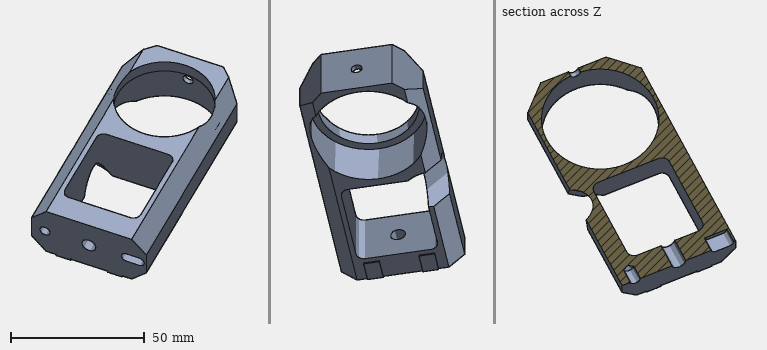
import cadquery as cq
import math

length = 94.0
width = 47.0
total_height = 22.6
pad_height = 0.6
height = total_height - pad_height
edge_chamfer = 6.0
rear_corner_chamfer = 10.0
mid_height = height / 2

opening_y = 70.0
opening_diameter = 38.0
counterbore_diameter = 43.8
lip_thickness = 5.0

window_width = 31.0
window_length = 35.1
window_front_y = 10.0
window_corner_radius = 3.0

cable_hole_diameter = 5.5
pin_diameter = 4.0
pin_offset = 18.0
pin_depth = 6.0
drill_point_angle = 118.0
slot_length = 9.2
slot_depth = 6.0

notch_y = 39.3
notch_radius = 8.65
notch_axis_drop = 1.4
notch_slope = 45.0

pad_width = 6.0
pad_length = 8.0
pad_offset = 10.5


def make_body():
    bar = cq.Workplane("XY").box(width, length, height, centered=(True, False, False))
    bar = bar.edges("|Y").chamfer(edge_chamfer)
    plan = cq.Workplane("XY").box(width, length, height, centered=(True, False, False))
    plan = plan.edges("|Z and >Y").chamfer(rear_corner_chamfer)
    return bar.intersect(plan)


def make_opening():
    bore = cq.Workplane("XY").circle(opening_diameter / 2).extrude(height)
    counterbore = cq.Workplane("XY").circle(counterbore_diameter / 2).extrude(height - lip_thickness)
    return bore.union(counterbore).translate((0, opening_y, 0))


def make_window():
    window = cq.Workplane("XY").box(window_width, window_length, height, centered=(True, False, False))
    return window.edges("|Z").fillet(window_corner_radius).translate((0, window_front_y, 0))


def hole_along_y(diameter, x, start_y, depth):
    start = cq.Vector(x, start_y, mid_height)
    return cq.Workplane(cq.Solid.makeCylinder(diameter / 2, depth, start, cq.Vector(0, 1, 0)))


def make_pin_hole():
    radius = pin_diameter / 2
    point_depth = radius / math.tan(math.radians(drill_point_angle / 2))
    point_start = cq.Vector(-pin_offset, pin_depth, mid_height)
    point = cq.Solid.makeCone(radius, 0, point_depth, point_start, cq.Vector(0, 1, 0))
    return hole_along_y(pin_diameter, -pin_offset, 0, pin_depth).union(cq.Workplane(point))


def make_pin_slot():
    front = cq.Workplane("XZ").center(pin_offset, mid_height)
    return front.slot2D(slot_length, pin_diameter).extrude(-slot_depth)


def make_notch():
    slope = math.radians(notch_slope)
    direction = cq.Vector(math.cos(slope), 0, -math.sin(slope))
    outward = cq.Vector(-math.sin(slope), 0, -math.cos(slope))
    chamfer_edge = cq.Vector(-width / 2, notch_y, edge_chamfer)
    start = chamfer_edge + outward * notch_axis_drop - direction * width
    return cq.Workplane(cq.Solid.makeCylinder(notch_radius, 2 * width, start, direction))


def make_pad(x):
    pad = cq.Workplane("XY").box(pad_width, pad_length, pad_height, centered=(True, False, False))
    return pad.translate((x, 0, -pad_height))


result = make_body()
result = result.cut(make_opening())
result = result.cut(make_window())
result = result.cut(make_notch())

result = result.cut(hole_along_y(cable_hole_diameter, 0, 0, window_front_y + window_corner_radius))
result = result.cut(hole_along_y(pin_diameter, 0, opening_y, length - opening_y))
result = result.cut(make_pin_hole())
result = result.cut(make_pin_slot())

for side in (-1, 1):
    result = result.union(make_pad(side * pad_offset))